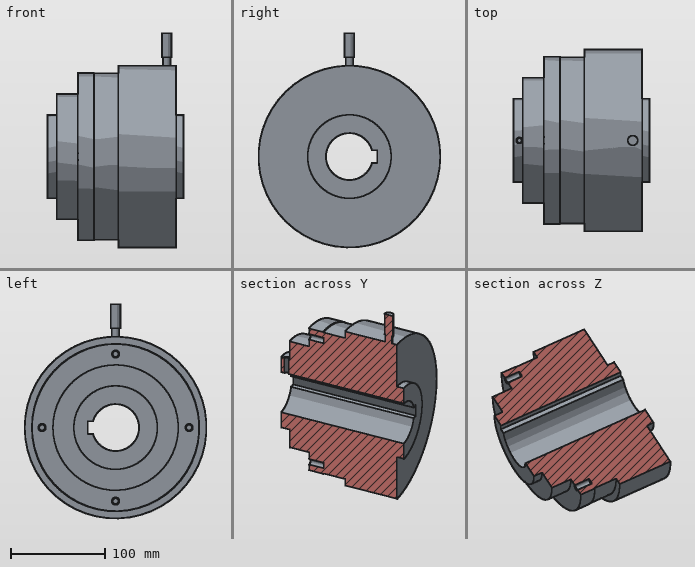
import cadquery as cq

FRONT_HUB_END = 9.8
SHOULDER_END = 32.5
FRONT_FLANGE_END = 49.8
DRUM_START = 75.2
DRUM_END = 136.6
TOTAL_LENGTH = 144.5

HUB_DIAMETER = 88.7
SHOULDER_DIAMETER = 133.0
FRONT_FLANGE_DIAMETER = 177.8
REAR_FLANGE_DIAMETER = 176.9
DRUM_DIAMETER = 193.0

BORE_DIAMETER = 49.5
KEYWAY_WIDTH = 13.2
KEYWAY_REACH = 29.3

FLANGE_HOLE_COUNT = 4
FLANGE_HOLE_CIRCLE_DIAMETER = 156.0
FLANGE_HOLE_DIAMETER = 6.1
FLANGE_HOLE_MOUTH_DIAMETER = 8.0

SET_SCREW_X = 6.4
SET_SCREW_DIAMETER = 5.0
SET_SCREW_MOUTH_DIAMETER = 6.5

OVERALL_HEIGHT = 227.3
HANDLE_X = 126.6
GRIP_DIAMETER = 10.5
GRIP_LENGTH = 25.7
STEM_DIAMETER = 8.2
STEM_EMBEDMENT = 4.5


def disc(diameter, start, end):
    """Cylinder on the X axis between two axial stations."""
    return cq.Workplane("YZ", origin=(start, 0, 0)).circle(diameter / 2).extrude(end - start)


def countersunk_cutter(diameter, mouth_diameter, depth):
    """Hole tool along +X from the origin, with a 45 degree countersink at its mouth."""
    sink_depth = (mouth_diameter - diameter) / 2
    profile = [
        (0, 0),
        (0, mouth_diameter / 2),
        (sink_depth, diameter / 2),
        (depth, diameter / 2),
        (depth, 0),
    ]
    return cq.Workplane("XY").polyline(profile).close().revolve(360, (0, 0, 0), (1, 0, 0))


flange_chamfer = (FRONT_FLANGE_DIAMETER - REAR_FLANGE_DIAMETER) / 2
front_flange = (
    disc(FRONT_FLANGE_DIAMETER, SHOULDER_END, FRONT_FLANGE_END)
    .faces(">X")
    .edges()
    .chamfer(flange_chamfer)
)

body = (
    disc(HUB_DIAMETER, 0, TOTAL_LENGTH)
    .union(disc(SHOULDER_DIAMETER, FRONT_HUB_END, SHOULDER_END))
    .union(front_flange)
    .union(disc(REAR_FLANGE_DIAMETER, FRONT_FLANGE_END, DRUM_START))
    .union(disc(DRUM_DIAMETER, DRUM_START, DRUM_END))
)

overall_top = OVERALL_HEIGHT - DRUM_DIAMETER / 2
grip_bottom = overall_top - GRIP_LENGTH
stem_bottom = DRUM_DIAMETER / 2 - STEM_EMBEDMENT
handle = (
    cq.Workplane("XY", origin=(HANDLE_X, 0, stem_bottom))
    .circle(STEM_DIAMETER / 2)
    .extrude(grip_bottom - stem_bottom)
    .faces(">Z")
    .workplane()
    .circle(GRIP_DIAMETER / 2)
    .extrude(GRIP_LENGTH)
)

keyway = cq.Workplane("XY").box(TOTAL_LENGTH, KEYWAY_REACH, KEYWAY_WIDTH, centered=(False, False, True))
bore = disc(BORE_DIAMETER, 0, TOTAL_LENGTH).union(keyway)

set_screw_hole = (
    countersunk_cutter(SET_SCREW_DIAMETER, SET_SCREW_MOUTH_DIAMETER, HUB_DIAMETER / 2)
    .rotate((0, 0, 0), (0, 1, 0), 90)
    .translate((SET_SCREW_X, 0, HUB_DIAMETER / 2))
)

result = body.union(handle).cut(bore).cut(set_screw_hole)

flange_hole = countersunk_cutter(
    FLANGE_HOLE_DIAMETER, FLANGE_HOLE_MOUTH_DIAMETER, FRONT_FLANGE_END - SHOULDER_END
).translate((SHOULDER_END, 0, FLANGE_HOLE_CIRCLE_DIAMETER / 2))
for index in range(FLANGE_HOLE_COUNT):
    angle = index * 360 / FLANGE_HOLE_COUNT
    result = result.cut(flange_hole.rotate((0, 0, 0), (1, 0, 0), angle))